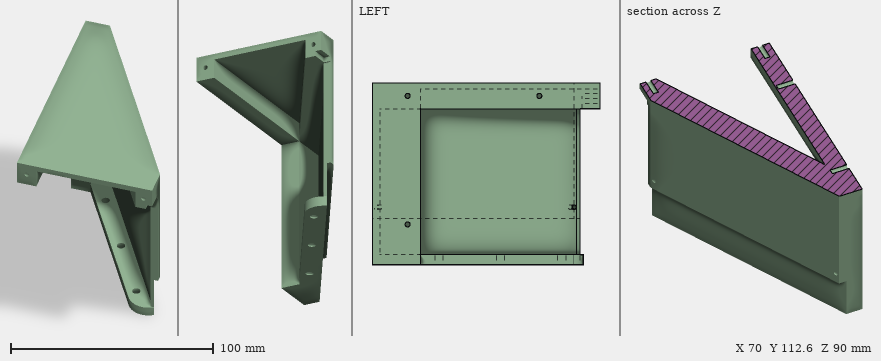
import cadquery as cq
import math

width = 70.0
length = 112.6
height = 90.0
front_corner = 13.1
slant_turn = 30.0

top_thickness = 3.0
rim_height = 12.8
side_wall = 10.0
column_length = 23.8
rim_bottom = height - rim_height

wall_thickness = 4.0
wall_front = 9.9
wall_end_x = 66.1
recess_depth = 3.4
recess_height = 22.9
ledge_width = 14.1
flange_thickness = 5.1
flange_end = -25.3
flange_radius = 10.0

notch_width = 3.3
notch_height = 2.6
notch_length = 9.0

screw_diameter = 2.5
screw_depth = 9.0
screw_z = height - 6.4
front_screw_inset_left = 5.1
front_screw_inset_right = 4.5
side_screws = [(30.1, screw_z), (95.1, screw_z), (95.1, 20.0)]
flange_hole_diameter = 4.0
flange_hole_inset = 9.3
flange_hole_count = 3
flange_hole_start = -11.5
flange_hole_pitch = 35.0
pin_diameter = 2.3
pin_z = 28.6
pin_spacing = 110.8

cos_turn = math.cos(math.radians(slant_turn))
sin_turn = math.sin(math.radians(slant_turn))
slant_offset = width * cos_turn + front_corner * sin_turn
back_width = width - (length - front_corner) * math.tan(math.radians(slant_turn))
slant_middle = ((length + front_corner) * cos_turn - (width + back_width) * sin_turn) / 2


def block(x0, x1, y0, y1, z0, z1):
    return cq.Workplane("XY").box(x1 - x0, y1 - y0, z1 - z0, centered=False).translate((x0, y0, z0))


def turned(shape):
    """Turn a shape from (offset, run) axes onto the slanted side."""
    return shape.rotate((0, 0, 0), (0, 0, 1), slant_turn)


def slanted_strip(depth, z0, z1):
    """Strip of the given depth along the whole slanted side."""
    return turned(block(slant_offset - depth, slant_offset, -length, 2 * length, z0, z1))


envelope = (
    cq.Workplane("XY")
    .polyline([(0, 0), (width, 0), (width, front_corner), (back_width, length), (0, length)])
    .close()
    .extrude(height)
)

frame = block(0, width, 0, length, height - top_thickness, height)
frame = frame.union(block(0, side_wall, 0, length, rim_bottom, height))
frame = frame.union(slanted_strip(ledge_width, rim_bottom, height))
frame = frame.union(block(0, side_wall, length - column_length, length, 0, height))
notch = block(width - notch_width, width, 0, notch_length, rim_bottom, rim_bottom + notch_height)
frame = frame.cut(notch)

wall = slanted_strip(wall_thickness, 0, height)
wall = wall.intersect(block(0, width, wall_front, length, 0, height))
wall = wall.union(block(wall_end_x, width, wall_front, front_corner, 0, height))

flange = block(slant_offset - ledge_width, slant_offset, flange_end, 2 * length, 0, flange_thickness)
flange = turned(flange.edges("|Z and <X and <Y").fillet(flange_radius))

recess = slanted_strip(recess_depth, 0, recess_height)
result = frame.union(wall).union(flange).intersect(envelope).cut(recess)

for x in (front_screw_inset_left, width - front_screw_inset_right):
    result = result.cut(
        cq.Workplane("XZ").center(x, screw_z).circle(screw_diameter / 2).extrude(-screw_depth)
    )

for y, z in side_screws:
    result = result.cut(
        cq.Workplane("YZ").center(y, z).circle(screw_diameter / 2).extrude(screw_depth)
    )

for index in range(flange_hole_count):
    run = flange_hole_start + index * flange_hole_pitch
    hole = (
        cq.Workplane("XY")
        .center(slant_offset - flange_hole_inset, run)
        .circle(flange_hole_diameter / 2)
        .extrude(flange_thickness)
    )
    result = result.cut(turned(hole))

for end in (-1, 1):
    hole = (
        cq.Workplane("YZ", origin=(slant_offset - wall_thickness, 0, 0))
        .center(slant_middle + end * pin_spacing / 2, pin_z)
        .circle(pin_diameter / 2)
        .extrude(wall_thickness)
    )
    result = result.cut(turned(hole))